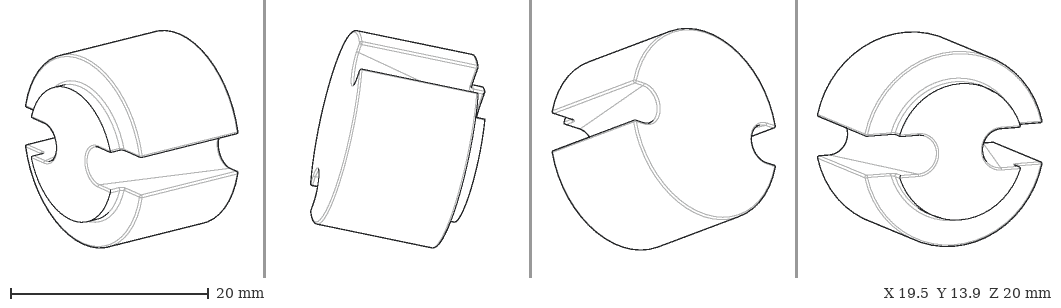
import cadquery as cq

body_radius = 10.0
body_length = 12.4
boss_radius = 7.0
boss_length = 1.5
edge_radius = 0.2
boss_root_radius = 0.3

slot_half_height = 2.0
floor_front_x = 2.5
floor_rear_x = 6.52

front_y = -boss_length
rear_y = body_length
slot_reach = 2 * body_radius
tolerance = 0.002


def cylinder(radius, start_y, length):
    plane = cq.Plane(origin=(0, start_y, 0), xDir=(1, 0, 0), normal=(0, 1, 0))
    return cq.Workplane(plane).circle(radius).extrude(length)


def stepped_cylinder():
    """Body with rounded rims, and a front boss with a rounded root."""
    body = cylinder(body_radius, 0, body_length).edges("%CIRCLE").fillet(edge_radius)
    blank = body.union(cylinder(boss_radius, front_y, boss_length))
    root_box = cq.selectors.BoxSelector(
        (-boss_radius - tolerance, -tolerance, -boss_radius - tolerance),
        (boss_radius + tolerance, tolerance, boss_radius + tolerance),
        boundingbox=True,
    )
    return blank.edges(root_box).fillet(boss_root_radius)


def slot_cutter():
    """Slot on the +X side: a U outline swept along a slanted straight line."""
    h = slot_half_height
    outline = (
        cq.Workplane("XZ", origin=(0, front_y, 0))
        .moveTo(slot_reach, -h)
        .lineTo(floor_front_x + h, -h)
        .threePointArc((floor_front_x, 0), (floor_front_x + h, h))
        .lineTo(slot_reach, h)
        .close()
        .wires()
        .val()
    )
    slant = cq.Vector(floor_rear_x - floor_front_x, rear_y - front_y, 0)
    return cq.Workplane(obj=cq.Solid.extrudeLinear(outline, [], slant))


def slot_edges(part):
    """All edges left by the slots, within their height."""
    limit = slot_half_height + tolerance
    slot_box = cq.selectors.BoxSelector(
        (-slot_reach, front_y - tolerance, -limit),
        (slot_reach, rear_y + tolerance, limit),
        boundingbox=True,
    )
    edges = []
    for edge in part.edges(slot_box).vals():
        box = edge.BoundingBox()
        is_full_length = box.ylen > body_length + tolerance
        if not is_full_length:
            edges.append(edge)
    return edges


blank = stepped_cylinder()
right_slot = slot_cutter()
slotted = blank.cut(right_slot).cut(right_slot.mirror("YZ"))
result = slotted.newObject(slot_edges(slotted)).fillet(edge_radius)